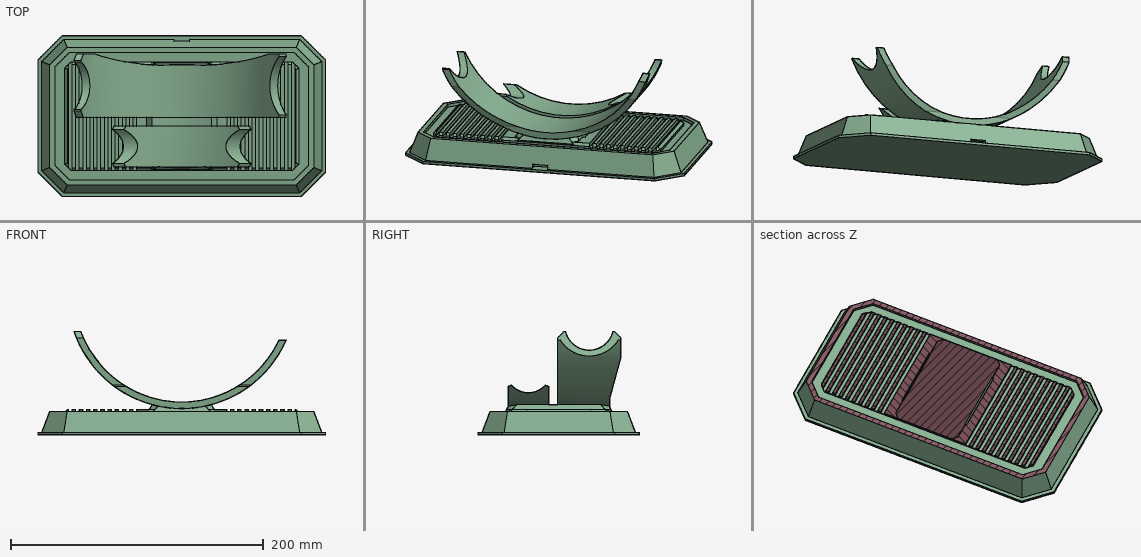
import cadquery as cq
import math

TRAY_LENGTH = 227.57
TRAY_WIDTH = 127.39
TRAY_CORNER_LEG = 19.3
FLANGE_HEIGHT = 2.0
WALL_FOOT_INSET = 3.0
RIM_INSET = 9.3
RIM_HEIGHT = 18.6
POCKET_INSET = 13.4
POCKET_FLOOR = 16.2
CABLE_NOTCH_WIDTH = 12.4
CABLE_NOTCH_HEIGHT = 3.0
CABLE_NOTCH_DEPTH = 6.0

GRATE_LENGTH = 185.2
GRATE_WIDTH = 85.8
GRATE_CORNER_LEG = 5.0
GRATE_TOP = 20.0
GRATE_EDGE_CHAMFER = 2.1
SLOT_PITCH = 5.68
SLOT_WIDTH = SLOT_PITCH / 2
SLOT_DEPTH = 3.0
SLOTS_PER_SIDE = 10
FIRST_SLOT_X = 37.1

SADDLE_TOP = 24.2
SADDLE_SEAT = GRATE_TOP - GRATE_EDGE_CHAMFER
SADDLE_TOP_LENGTH = 46.8
SADDLE_TOP_WIDTH = 78.2
SADDLE_SIDE_RUN = 0.58
SADDLE_END_RUN = 0.55
SADDLE_CORNER_SUM = 56.4
SADDLE_CORNER_RUN = 1.5
SADDLE_PLUG_WIDTH = 50.0

CRADLE_OUTER_RADIUS = 90.0
CRADLE_THICKNESS = 5.2
CRADLE_BOTTOM = 20.8
CRADLE_AXIS_Z = CRADLE_BOTTOM + CRADLE_OUTER_RADIUS

LARGE_FRONT = -1.0
LARGE_BACK = 49.2
LARGE_FOOT_BACK = 40.4
LARGE_FLARE_START_Z = 29.0
LARGE_FLARE_END_Z = 61.3
LARGE_LEFT_TIP_Z = 81.9
LARGE_LEFT_BEVEL = 5.2
LARGE_LEFT_SCALLOP_DEPTH = 14.8
LARGE_LEFT_TIP_FLAT = 1.2
LARGE_RIGHT_TIP_Z = 75.2
LARGE_RIGHT_BEVEL_RUN = 2.0
LARGE_RIGHT_BEVEL_DROP = 0.4
LARGE_RIGHT_SCALLOP_DEPTH = 12.8

SMALL_FRONT = -40.1
SMALL_BACK = -7.9
SMALL_TIP_Z = 39.4
SMALL_BEVEL_RUN = 2.7
SMALL_BEVEL_DROP = 1.0
SMALL_SCALLOP_DEPTH = 5.9


def octagon(length, width, corner_leg, z):
    """Wire of a rectangle with its corners cut at 45 degrees, at height z."""
    x = length / 2
    y = width / 2
    points = [
        (x, y - corner_leg), (x - corner_leg, y), (corner_leg - x, y), (-x, y - corner_leg),
        (-x, corner_leg - y), (corner_leg - x, -y), (x - corner_leg, -y), (x, corner_leg - y),
    ]
    return cq.Workplane("XY", origin=(0, 0, z)).polyline(points).close()


def tray_outline(inset, z):
    """Tray octagon moved inward by the same distance on all eight sides."""
    corner_leg = TRAY_CORNER_LEG - inset * (2 - math.sqrt(2))
    return octagon(TRAY_LENGTH - 2 * inset, TRAY_WIDTH - 2 * inset, corner_leg, z)


def make_tray():
    flange = tray_outline(0, 0).extrude(FLANGE_HEIGHT)
    foot = tray_outline(WALL_FOOT_INSET, FLANGE_HEIGHT).wires().val()
    rim = tray_outline(RIM_INSET, RIM_HEIGHT).wires().val()
    walls = cq.Workplane(cq.Solid.makeLoft([foot, rim], True))
    pocket = tray_outline(POCKET_INSET, POCKET_FLOOR).extrude(RIM_HEIGHT)
    notch_y = TRAY_WIDTH / 2 - WALL_FOOT_INSET - CABLE_NOTCH_DEPTH
    cable_notch = (
        cq.Workplane("XY", origin=(0, notch_y, FLANGE_HEIGHT))
        .rect(CABLE_NOTCH_WIDTH, 2 * CABLE_NOTCH_DEPTH)
        .extrude(CABLE_NOTCH_HEIGHT)
        .translate((0, CABLE_NOTCH_DEPTH, 0))
    )
    return flange.union(walls).cut(pocket).cut(cable_notch)


def cradle_cylinder(radius):
    """Cylinder along Y about the common cradle axis, longer than any cradle."""
    return (
        cq.Workplane("XZ", origin=(0, TRAY_WIDTH / 2, CRADLE_AXIS_Z))
        .circle(radius)
        .extrude(TRAY_WIDTH)
    )


def corner_cutter(side_x, side_y):
    """Space outside one sloping corner face of the saddle."""
    depth = SADDLE_TOP - POCKET_FLOOR
    reach = TRAY_LENGTH

    def outside(corner_sum, z):
        points = [
            (side_x * (corner_sum + reach), -side_y * reach),
            (side_x * (corner_sum + reach), side_y * (corner_sum + reach)),
            (-side_x * reach, side_y * (corner_sum + reach)),
        ]
        return cq.Workplane("XY", origin=(0, 0, z)).polyline(points).close().wires().val()

    low = outside(SADDLE_CORNER_SUM + SADDLE_CORNER_RUN * depth, POCKET_FLOOR)
    high = outside(SADDLE_CORNER_SUM, SADDLE_TOP)
    return cq.Workplane(cq.Solid.makeLoft([low, high], True))


def saddle_plug():
    """Box of the grate recess that the middle of the saddle enters."""
    depth = SADDLE_TOP - POCKET_FLOOR
    length = SADDLE_TOP_LENGTH + 2 * SADDLE_SIDE_RUN * depth
    return (
        cq.Workplane("XY", origin=(0, 0, POCKET_FLOOR))
        .rect(length, SADDLE_PLUG_WIDTH)
        .extrude(depth)
    )


def make_saddle():
    depth = SADDLE_TOP - POCKET_FLOOR

    def trapezoid(plane, top, run):
        foot = top / 2 + run * depth
        points = [(-foot, POCKET_FLOOR), (foot, POCKET_FLOOR), (top / 2, SADDLE_TOP), (-top / 2, SADDLE_TOP)]
        return cq.Workplane(plane).polyline(points).close().extrude(TRAY_WIDTH / 2, both=True)

    block = trapezoid("XZ", SADDLE_TOP_LENGTH, SADDLE_SIDE_RUN)
    block = block.intersect(trapezoid("YZ", SADDLE_TOP_WIDTH, SADDLE_END_RUN))
    for side_x in (-1, 1):
        for side_y in (-1, 1):
            block = block.cut(corner_cutter(side_x, side_y))
    above_seat = cq.Workplane("XY", origin=(0, 0, SADDLE_SEAT)).rect(TRAY_LENGTH, TRAY_WIDTH).extrude(depth)
    body = block.intersect(above_seat.union(saddle_plug()))
    return body.cut(cradle_cylinder(CRADLE_OUTER_RADIUS))


def make_grate(saddle):
    plate = (
        octagon(GRATE_LENGTH, GRATE_WIDTH, GRATE_CORNER_LEG, POCKET_FLOOR)
        .extrude(GRATE_TOP - POCKET_FLOOR)
        .faces(">Z")
        .chamfer(GRATE_EDGE_CHAMFER)
    )
    for index in range(SLOTS_PER_SIDE):
        slot_x = FIRST_SLOT_X + index * SLOT_PITCH
        slots = (
            cq.Workplane("XY", origin=(0, 0, GRATE_TOP))
            .pushPoints([(-slot_x, 0), (slot_x, 0)])
            .rect(SLOT_WIDTH, GRATE_WIDTH)
            .extrude(-SLOT_DEPTH)
        )
        plate = plate.cut(slots)
    return plate.cut(saddle_plug()).cut(saddle)


def half_blank(side, front, back, tip_z, bevel_run, bevel_drop, scallop_depth, tip_flat=0, flare=()):
    """Blank of the cradle half at -X or +X (side -1 or 1): bevelled tips with a round scallop between."""
    middle = (front + back) / 2
    foot_back = flare[0][0] if flare else back
    outline = cq.Workplane("YZ").moveTo(front, 0).lineTo(front, tip_z - bevel_drop)
    outline = outline.lineTo(front + bevel_run, tip_z)
    if tip_flat:
        outline = outline.line(tip_flat, 0)
    scallop_end = back - bevel_run - tip_flat
    outline = outline.threePointArc((middle, tip_z - scallop_depth), (scallop_end, tip_z))
    if tip_flat:
        outline = outline.line(tip_flat, 0)
    outline = outline.lineTo(back, tip_z - bevel_drop)
    for point in reversed(flare):
        outline = outline.lineTo(*point)
    return outline.lineTo(foot_back, 0).close().extrude(side * CRADLE_OUTER_RADIUS)


def make_cradle(left_blank, right_blank):
    """Cylinder shell cut to the outlines of its two halves."""
    hollow = cradle_cylinder(CRADLE_OUTER_RADIUS - CRADLE_THICKNESS)
    shell = cradle_cylinder(CRADLE_OUTER_RADIUS).cut(hollow)
    return shell.intersect(left_blank).union(shell.intersect(right_blank)).clean()


def make_large_cradle():
    flare = [(LARGE_FOOT_BACK, LARGE_FLARE_START_Z), (LARGE_BACK, LARGE_FLARE_END_Z)]
    left = half_blank(
        -1, LARGE_FRONT, LARGE_BACK, LARGE_LEFT_TIP_Z, LARGE_LEFT_BEVEL, LARGE_LEFT_BEVEL,
        LARGE_LEFT_SCALLOP_DEPTH, LARGE_LEFT_TIP_FLAT, flare,
    )
    right = half_blank(
        1, LARGE_FRONT, LARGE_BACK, LARGE_RIGHT_TIP_Z, LARGE_RIGHT_BEVEL_RUN, LARGE_RIGHT_BEVEL_DROP,
        LARGE_RIGHT_SCALLOP_DEPTH, flare=flare,
    )
    return make_cradle(left, right)


def make_small_cradle():
    left, right = [
        half_blank(
            side, SMALL_FRONT, SMALL_BACK, SMALL_TIP_Z, SMALL_BEVEL_RUN, SMALL_BEVEL_DROP,
            SMALL_SCALLOP_DEPTH,
        )
        for side in (-1, 1)
    ]
    return make_cradle(left, right)


tray = make_tray()
saddle = make_saddle()
grate = make_grate(saddle)
large_cradle = make_large_cradle()
small_cradle = make_small_cradle()

bodies = [tray, grate, saddle, large_cradle, small_cradle]
result = cq.Compound.makeCompound([body.val() for body in bodies])